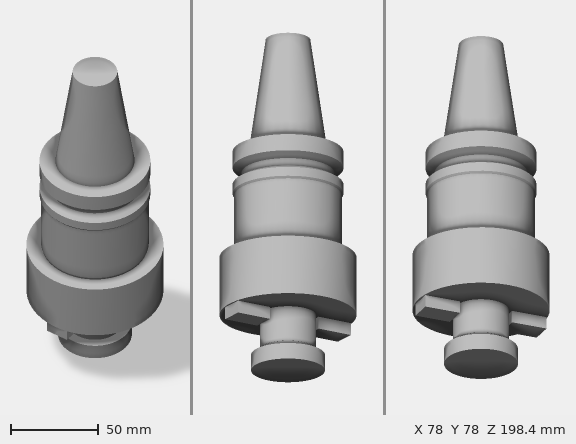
import cadquery as cq
import math

total_height = 198.4
screw_head_height = 9.3
pilot_bottom = 12.5
collar_bottom = 33.1
collar_top = 67.7
body_bottom = 69.0
body_top = 105.0
flange_bottom = 106.1
groove_lower_edge = 111.5
groove_upper_edge = 121.5
flange_top = 131.1

screw_head_diameter = 42.0
screw_neck_diameter = 31.5
pilot_diameter = 32.0
collar_diameter = 78.0
body_diameter = 61.3
body_relief_diameter = 60.5
flange_diameter = 63.0
groove_diameter = 53.0
taper_large_diameter = 45.0

taper_ratio = 7 / 24
taper_small_diameter = taper_large_diameter - taper_ratio * (total_height - flange_top)

groove_wall_height = (flange_diameter - groove_diameter) / 2 * math.tan(math.radians(30))

key_width = 13.9
key_height = 7.1
key_inner_radius = 16.3
key_outer_radius = 37.7


def make_turned_body():
    """Revolve the complete arbor, with its screw, around Z."""
    corners = [
        (screw_head_diameter, 0),
        (screw_head_diameter, screw_head_height),
        (screw_neck_diameter, screw_head_height),
        (screw_neck_diameter, pilot_bottom),
        (pilot_diameter, pilot_bottom),
        (pilot_diameter, collar_bottom),
        (collar_diameter, collar_bottom),
        (collar_diameter, collar_top),
        (body_relief_diameter, collar_top),
        (body_diameter, body_bottom),
        (body_diameter, body_top),
        (flange_diameter, flange_bottom),
        (flange_diameter, groove_lower_edge),
        (groove_diameter, groove_lower_edge + groove_wall_height),
        (groove_diameter, groove_upper_edge - groove_wall_height),
        (flange_diameter, groove_upper_edge),
        (flange_diameter, flange_top),
        (taper_large_diameter, flange_top),
        (taper_small_diameter, total_height),
    ]
    profile = [(0, 0)]
    profile += [(diameter / 2, height) for diameter, height in corners]
    profile.append((0, total_height))
    return cq.Workplane("XZ").polyline(profile).close().revolve(360, (0, 0), (0, 1))


def make_drive_key(side):
    """Make the key on the +Y (side = 1) or -Y (side = -1) half of the collar face."""
    key_center = side * (key_inner_radius + key_outer_radius) / 2
    return (
        cq.Workplane("XY", origin=(0, key_center, collar_bottom))
        .rect(key_width, key_outer_radius - key_inner_radius)
        .extrude(-key_height)
    )


result = make_turned_body()
for key_side in (-1, 1):
    result = result.union(make_drive_key(key_side))